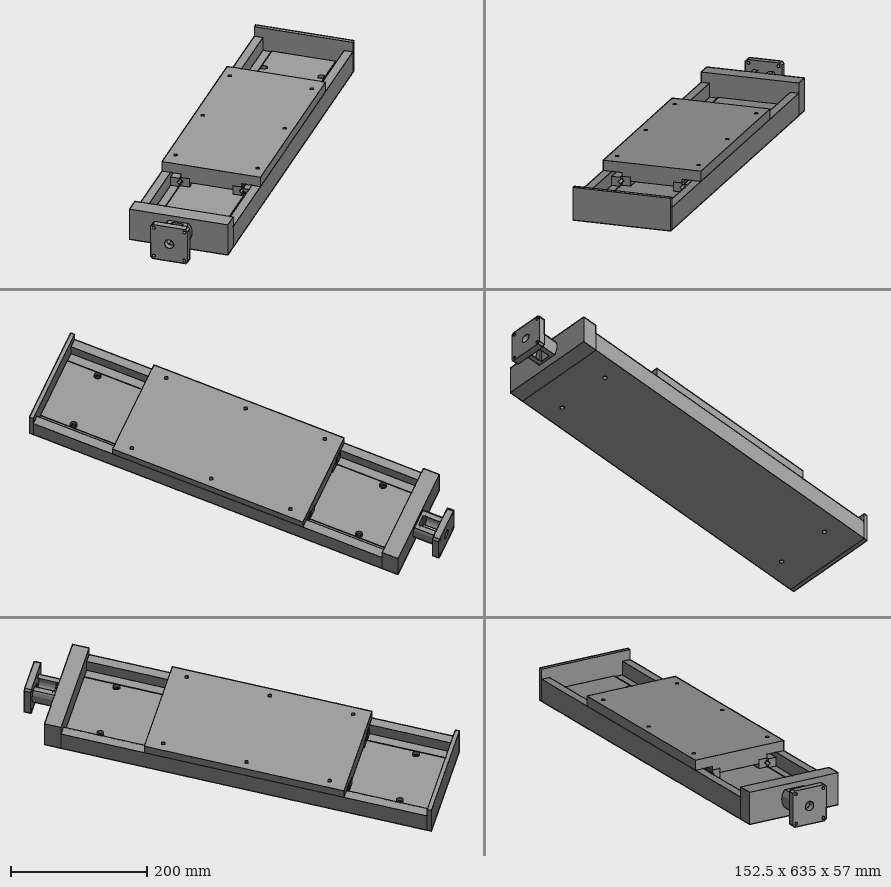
import cadquery as cq

stage_width = 152.5
stage_height = 51.0

flange_size = 57.0
flange_thickness = 10.0
flange_corner_chamfer = 3.0
flange_hole_offset = 23.5
flange_hole_diameter = 4.5
shaft_bore_diameter = 14.0
barrel_diameter = 42.0
barrel_height = 28.0
barrel_length = 34.0
cavity_diameter = 32.5
cavity_end_wall = 6.5
window_width = 16.0
window_end_wall = 4.0

front_block_thickness = 25.5
base_length = 559.0
base_height = 35.0
base_wall = 13.5
rear_plate_thickness = 6.5
floor_top = 14.5
rail_seat_depth = 1.0
base_hole_diameter = 6.5
base_counterbore_diameter = 10.0
base_counterbore_depth = 7.5
base_hole_x = 44.5
base_hole_y = 229.0

table_length = 305.0
table_core_bottom = 23.0
table_hole_diameter = 5.0
table_hole_depth = 13.0
table_hole_x = 63.5
table_hole_pitch = 127.0

rail_width = 13.5
rail_height = 14.0
rail_gap = 2.5
groove_depth = 3.0
inner_rail_lift = 2.0

barrel_axis_z = flange_size / 2
barrel_bottom = barrel_axis_z - barrel_height / 2
barrel_top = barrel_axis_z + barrel_height / 2
block_front_y = flange_thickness + barrel_length
base_front_y = block_front_y + front_block_thickness
base_rear_y = base_front_y + base_length
center_y = base_front_y + base_length / 2
table_front_y = center_y - table_length / 2

wall_inner_x = stage_width / 2 - base_wall
seat_top = floor_top - rail_seat_depth
seat_inner_x = wall_inner_x - rail_width
inner_rail_outer_x = seat_inner_x - rail_gap
inner_rail_inner_x = inner_rail_outer_x - rail_width
inner_rail_bottom = seat_top + inner_rail_lift
inner_rail_top = inner_rail_bottom + rail_height


def block(x_min, x_max, y_min, y_max, z_min, z_max):
    """Axis-aligned box between the given limits."""
    size = (x_max - x_min, y_max - y_min, z_max - z_min)
    return cq.Workplane("XY").box(*size, centered=False).translate((x_min, y_min, z_min))


def full_width_block(y_min, y_max, z_min, z_max):
    """Box as wide as the stage."""
    return block(-stage_width / 2, stage_width / 2, y_min, y_max, z_min, z_max)


def extrude_along_y(profile, y_start, length):
    """Extrude an XZ profile toward +Y from y_start."""
    return profile.extrude(-length).translate((0, y_start, 0))


def make_base():
    half = stage_width / 2
    profile = cq.Workplane("XZ").polyline([
        (-half, 0),
        (half, 0),
        (half, base_height),
        (wall_inner_x, base_height),
        (wall_inner_x, seat_top),
        (seat_inner_x, seat_top),
        (seat_inner_x, floor_top),
        (-seat_inner_x, floor_top),
        (-seat_inner_x, seat_top),
        (-wall_inner_x, seat_top),
        (-wall_inner_x, base_height),
        (-half, base_height),
    ]).close()
    channel = extrude_along_y(profile, base_front_y, base_length)
    hole_centers = (
        cq.Workplane("XY", origin=(0, center_y, floor_top))
        .rect(2 * base_hole_x, 2 * base_hole_y, forConstruction=True)
        .vertices()
    )
    holes = hole_centers.circle(base_hole_diameter / 2).extrude(-floor_top)
    counterbores = hole_centers.circle(base_counterbore_diameter / 2).extrude(-base_counterbore_depth)
    return channel.cut(holes).cut(counterbores)


def make_rear_plate():
    return full_width_block(base_rear_y, base_rear_y + rear_plate_thickness, 0, stage_height)


def make_front_block():
    return full_width_block(block_front_y, base_front_y, 0, stage_height)


def make_motor_mount():
    flange = (
        block(-flange_size / 2, flange_size / 2, 0, flange_thickness, 0, flange_size)
        .edges("|Y")
        .chamfer(flange_corner_chamfer)
    )
    barrel_profile = cq.Workplane("XZ").center(0, barrel_axis_z).circle(barrel_diameter / 2)
    barrel = extrude_along_y(barrel_profile, flange_thickness, barrel_length)
    flats = block(
        -barrel_diameter / 2,
        barrel_diameter / 2,
        flange_thickness,
        block_front_y,
        barrel_bottom,
        barrel_top,
    )
    bore_profile = cq.Workplane("XZ").center(0, barrel_axis_z).circle(shaft_bore_diameter / 2)
    bore = extrude_along_y(bore_profile, 0, flange_thickness)
    cavity_profile = cq.Workplane("XZ").center(0, barrel_axis_z).circle(cavity_diameter / 2)
    cavity = extrude_along_y(cavity_profile, flange_thickness, barrel_length - cavity_end_wall)
    window = block(
        -window_width / 2,
        window_width / 2,
        flange_thickness,
        block_front_y - window_end_wall,
        barrel_bottom,
        barrel_top,
    )
    hole_profile = (
        cq.Workplane("XZ")
        .center(0, barrel_axis_z)
        .rect(2 * flange_hole_offset, 2 * flange_hole_offset, forConstruction=True)
        .vertices()
        .circle(flange_hole_diameter / 2)
    )
    mounting_holes = extrude_along_y(hole_profile, 0, flange_thickness)
    return flange.union(barrel.intersect(flats)).cut(window).cut(cavity).cut(bore).cut(mounting_holes)


def make_table():
    half = stage_width / 2
    profile = cq.Workplane("XZ").polyline([
        (-half, stage_height),
        (half, stage_height),
        (half, base_height),
        (inner_rail_outer_x, base_height),
        (inner_rail_outer_x, inner_rail_top),
        (inner_rail_inner_x, inner_rail_top),
        (inner_rail_inner_x, table_core_bottom),
        (-inner_rail_inner_x, table_core_bottom),
        (-inner_rail_inner_x, inner_rail_top),
        (-inner_rail_outer_x, inner_rail_top),
        (-inner_rail_outer_x, base_height),
        (-half, base_height),
    ]).close()
    table = extrude_along_y(profile, table_front_y, table_length)
    holes = (
        cq.Workplane("XY", origin=(0, center_y, stage_height - table_hole_depth))
        .rarray(2 * table_hole_x, table_hole_pitch, 2, 3)
        .circle(table_hole_diameter / 2)
        .extrude(table_hole_depth)
    )
    return table.cut(holes)


def make_rail(plain_x, grooved_x, bottom_z):
    """Rail from its plain side to its grooved side."""
    toward_plain = 1 if plain_x > grooved_x else -1
    profile = cq.Workplane("XZ").polyline([
        (plain_x, bottom_z),
        (grooved_x, bottom_z),
        (grooved_x, bottom_z + rail_height / 2 - groove_depth),
        (grooved_x + toward_plain * groove_depth, bottom_z + rail_height / 2),
        (grooved_x, bottom_z + rail_height / 2 + groove_depth),
        (grooved_x, bottom_z + rail_height),
        (plain_x, bottom_z + rail_height),
    ]).close()
    return extrude_along_y(profile, table_front_y, table_length)


outer_rails = []
inner_rails = []
for side in (-1, 1):
    outer_rails.append(make_rail(side * wall_inner_x, side * seat_inner_x, seat_top))
    inner_rails.append(
        make_rail(side * inner_rail_inner_x, side * inner_rail_outer_x, inner_rail_bottom)
    )

base = make_base()
rear_plate = make_rear_plate()
front_block = make_front_block()
motor_mount = make_motor_mount()
table = make_table()

result = cq.Compound.makeCompound([
    base.val(),
    rear_plate.val(),
    front_block.val(),
    motor_mount.val(),
    table.val(),
    *[rail.val() for rail in outer_rails],
    *[rail.val() for rail in inner_rails],
])